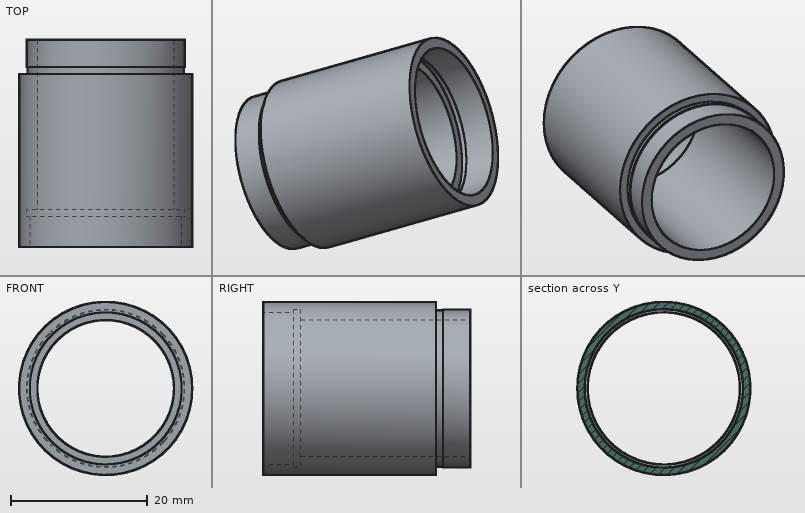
import cadquery as cq

total_length = 30.4
body_diameter = 25.4
bore_diameter = 20.0

spigot_diameter = 23.2
spigot_length = 4.0
spigot_relief_diameter = 22.98
spigot_relief_width = 1.0

socket_diameter = 22.28
socket_length = 4.5
socket_relief_diameter = 23.2
socket_relief_width = 1.0

front_y = -total_length / 2
back_y = total_length / 2
body_length = total_length - spigot_length - spigot_relief_width


def cylinder(diameter, start_y, length):
    """Solid cylinder along +Y, starting at start_y."""
    plane = cq.Plane(origin=(0, start_y, 0), xDir=(1, 0, 0), normal=(0, 1, 0))
    return cq.Workplane(plane).circle(diameter / 2).extrude(length)


body = cylinder(body_diameter, front_y, body_length)
spigot_relief = cylinder(spigot_relief_diameter, front_y + body_length, spigot_relief_width)
spigot = cylinder(spigot_diameter, back_y - spigot_length, spigot_length)
outside = body.union(spigot_relief).union(spigot)

bore = cylinder(bore_diameter, front_y, total_length)
socket = cylinder(socket_diameter, front_y, socket_length)
socket_relief = cylinder(socket_relief_diameter, front_y + socket_length, socket_relief_width)

result = outside.cut(bore).cut(socket).cut(socket_relief)